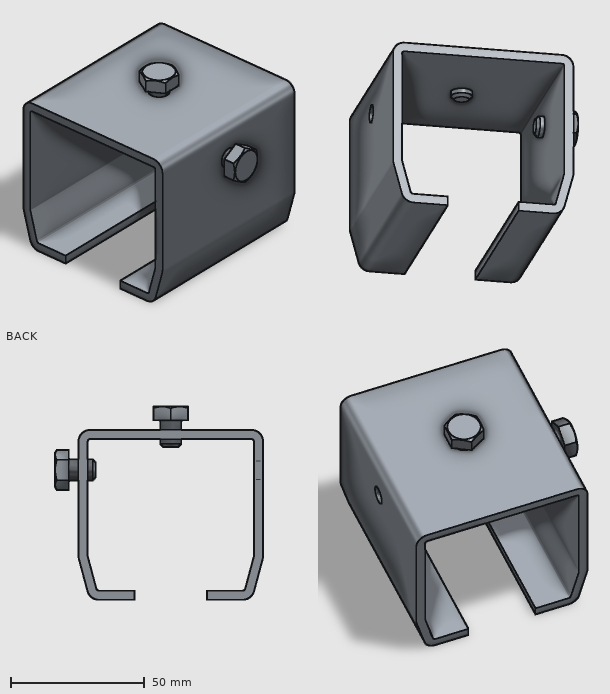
import cadquery as cq
import math

WIDTH = 69.0
HEIGHT = 63.5
LENGTH = 75.0
SHEET = 3.5
INNER_BEND_RADIUS = 1.0
OUTER_BEND_RADIUS = INNER_BEND_RADIUS + SHEET
SIDE_BEND_DEPTH = 47.6
SIDE_TILT = 15.0
OPENING = 27.0

SIDE_FIXING_DEPTH = 15.0
SIDE_HOLE_DIAMETER = 6.8

SHANK_DIAMETER = 8.0
SHANK_LENGTH = 10.0
TIP_DIAMETER = 5.6
TIP_CHAMFER_LENGTH = 1.2
NECK_FILLET = 0.4
HEAD_ACROSS_FLATS = 13.0
HEAD_HEIGHT = 5.3
HEAD_TOP_DIAMETER = 12.4
HEAD_CHAMFER_ANGLE = 30.0
HEAD_GAP = 3.5


def channel_block(inset, bend_radius):
    """Solid bar with the channel's outline, moved inward by inset, with rounded corners."""
    half_width = WIDTH / 2
    bottom_half_width = half_width - (HEIGHT - SIDE_BEND_DEPTH) * math.tan(math.radians(SIDE_TILT))
    outline = cq.Workplane("XZ").polyline([
        (-half_width, 0),
        (half_width, 0),
        (half_width, -SIDE_BEND_DEPTH),
        (bottom_half_width, -HEIGHT),
        (-bottom_half_width, -HEIGHT),
        (-half_width, -SIDE_BEND_DEPTH),
    ]).close()
    if inset:
        outline = outline.offset2D(-inset)
    return outline.extrude(LENGTH / 2, both=True).edges("|Y").fillet(bend_radius)


def make_bracket():
    """Channel with a slotted bottom and a plain hole through its -X side."""
    bracket = channel_block(0, OUTER_BEND_RADIUS).cut(channel_block(SHEET, INNER_BEND_RADIUS))
    slot = cq.Workplane("XY").box(OPENING, LENGTH, 2 * SHEET).translate((0, 0, -HEIGHT))
    side_hole = (
        cq.Workplane("YZ", origin=(-WIDTH / 2, 0, -SIDE_FIXING_DEPTH))
        .circle(SIDE_HOLE_DIAMETER / 2)
        .extrude(SHEET)
    )
    return bracket.cut(slot).cut(side_hole)


def make_head():
    """Hexagon head standing on Z = 0, corners on the Y axis, top corners turned to a cone."""
    across_corners = HEAD_ACROSS_FLATS / math.cos(math.radians(30))
    corner_radius = across_corners / 2
    top_radius = HEAD_TOP_DIAMETER / 2
    cone_drop = (corner_radius - top_radius) * math.tan(math.radians(HEAD_CHAMFER_ANGLE))
    hexagon = (
        cq.Workplane("XY")
        .polygon(6, across_corners)
        .extrude(HEAD_HEIGHT)
        .rotate((0, 0, 0), (0, 0, 1), 90)
    )
    turned_blank = (
        cq.Workplane("XZ")
        .polyline([
            (0, 0),
            (corner_radius, 0),
            (corner_radius, HEAD_HEIGHT - cone_drop),
            (top_radius, HEAD_HEIGHT),
            (0, HEAD_HEIGHT),
        ])
        .close()
        .revolve(360, (0, 0), (0, 1))
    )
    return hexagon.intersect(turned_blank)


def make_bolt():
    """Bolt along Z with the underside of its head at Z = 0 and its tip pointing down."""
    shank_radius = SHANK_DIAMETER / 2
    neck_radius = shank_radius + NECK_FILLET
    shank = (
        cq.Workplane("XZ")
        .lineTo(neck_radius, 0)
        .radiusArc((shank_radius, -NECK_FILLET), -NECK_FILLET)
        .lineTo(shank_radius, TIP_CHAMFER_LENGTH - SHANK_LENGTH)
        .lineTo(TIP_DIAMETER / 2, -SHANK_LENGTH)
        .lineTo(0, -SHANK_LENGTH)
        .close()
        .revolve(360, (0, 0), (0, 1))
    )
    return make_head().union(shank)


bolt = make_bolt()
top_bolt = bolt.translate((0, 0, HEAD_GAP))
side_bolt = (
    bolt.rotate((0, 0, 0), (0, 0, 1), 90)
    .rotate((0, 0, 0), (0, 1, 0), 90)
    .translate((WIDTH / 2 + HEAD_GAP, 0, -SIDE_FIXING_DEPTH))
)

result = make_bracket().union(top_bolt).union(side_bolt)